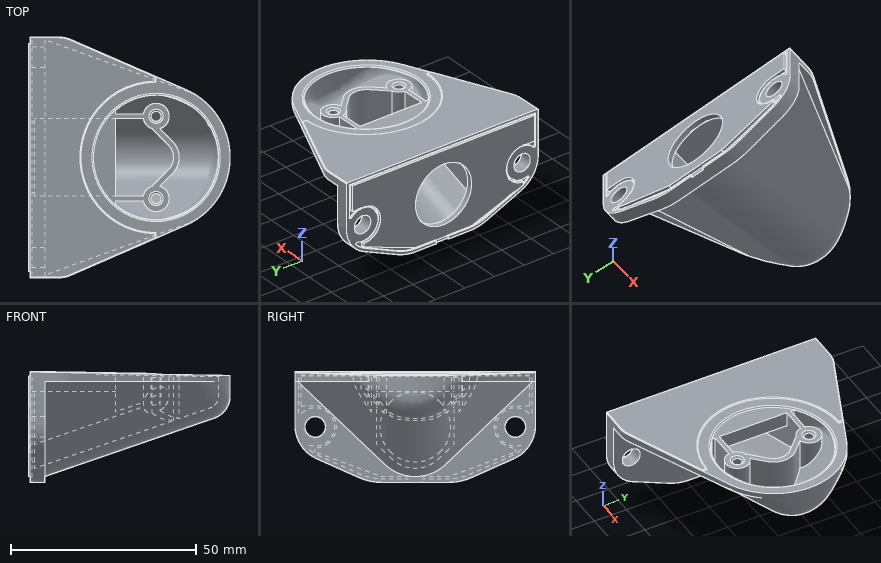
import cadquery as cq
import math

FLANGE_BACK = 0.5
FLANGE_THICKNESS = 4.0
FLANGE_FRONT = FLANGE_BACK + FLANGE_THICKNESS
HALF_WIDTH = 32.5
HEIGHT = 30.0
FLANGE_STRAIGHT_SIDE = 14.5
FLANGE_CORNER_RADIUS = 10.0
FLANGE_FOOT_ANGLE = 24.0
FLANGE_FOOT_RADIUS = 15.0

HOLE_DEPTH = 15.0
SCREW_OFFSET = 27.0
SCREW_RADIUS = 2.75
INLET_RADIUS = 9.5
INLET_WALL_FRONT = 1.75

PAD_HALF_WIDTH = 30.8
PAD_TOP = 1.2
PAD_BOTTOM = 28.4
PAD_BOTTOM_HALF_WIDTH = 9.1
PAD_SHOULDER_DEPTH = 21.8
PAD_SCREW_CLEARANCE = 5.7
GROOVE_MARGIN = 1.0
GROOVE_SCREW_CLEARANCE = 5.2
GROOVE_TIP_RADIUS = 0.4
GROOVE_DEPTH = 0.5
GROOVE_FLOOR = FLANGE_BACK + GROOVE_DEPTH
DRAIN_WIDTH = 4.0

LENGTH = 54.5
NOSE_RADIUS = 20.0
NOSE_X = LENGTH - NOSE_RADIUS
PLAN_ANGLE = 23.5
PLAN_CORNER_RADIUS = 8.0
TOP_TILT = 0.95
PLATE_THICKNESS = 2.7
EDGE_BREAK = 0.2

KEEL_RISE = 19.0
KEEL_DEPTH = 28.4
SIDE_ANGLE = 42.0
WALL = 3.0
INNER_KEEL_RADIUS = 9.4
OUTER_KEEL_RADIUS = INNER_KEEL_RADIUS + WALL
NOSE_START = 43.5
NOSE_FILLET = 6.3
NOSE_FILLET_END = 0.3
CAVITY_FILLET = 3.2
CAVITY_FILLET_END = 1.0

RIM_RADIUS = 20.3
RIM_DROP = 0.2
RIM_SLOPE = 55.0
RIM_CORNER_RADIUS = 0.6
BORE_RADIUS = 17.3
BORE_FLOOR_RADIUS = 16.9
SHELF_DROP = 0.6
CAVITY_RADIUS = 16.8
SHELF_EDGE = 23.5

BOSS_OFFSET = 11.1
BOSS_RADIUS = 3.5
BOSS_HOLE_RADIUS = 1.35
BOSS_MOUTH_RADIUS = 1.9
BOSS_MOUTH_DEPTH = 1.0
RIB_WIDTH = 1.3
BULGE_INNER_RADIUS = 4.7
BULGE_THICKNESS = 1.5
BULGE_LEG_INSET = 1.5

FAR = 100.0
PICK = 1.0
HEADROOM = 5.0


def sin(degrees):
    return math.sin(math.radians(degrees))


def cos(degrees):
    return math.cos(math.radians(degrees))


def tan(degrees):
    return math.tan(math.radians(degrees))


def box(x0, x1, half_y, z0, z1):
    """Box symmetric about Y = 0."""
    block = cq.Workplane("XY").box(x1 - x0, 2 * half_y, z1 - z0, centered=False)
    return block.translate((x0, -half_y, z0))


def cylinder_z(x, y, radius):
    """Tall vertical cylinder."""
    return cq.Workplane("XY", origin=(x, y, -FAR)).circle(radius).extrude(2 * FAR)


def flange_hole(y, radius, x0, x1):
    """Cylinder along X at the height of the flange holes."""
    return cq.Workplane("YZ", origin=(x0, y, -HOLE_DEPTH)).circle(radius).extrude(x1 - x0)


def top_plane(x, y, drop):
    """Plane parallel to the tilted top surface, lowered by `drop`, with its origin at (x, y)."""
    z = -(x - FLANGE_BACK) * tan(TOP_TILT) - drop
    along = (cos(TOP_TILT), 0, -sin(TOP_TILT))
    upward = (sin(TOP_TILT), 0, cos(TOP_TILT))
    return cq.Plane(origin=(x, y, z), xDir=along, normal=upward)


def below_top(drop):
    """Everything below the tilted top surface lowered by `drop`."""
    return cq.Workplane(top_plane(FLANGE_BACK, 0, drop)).rect(2 * FAR, 2 * FAR).extrude(-FAR)


def flange_prism(inset, thickness):
    """Flange outline, moved inwards by `inset`, extruded from the back face."""
    corner_z = -FLANGE_STRAIGHT_SIDE - FLANGE_CORNER_RADIUS * tan((90 - FLANGE_FOOT_ANGLE) / 2)
    foot_y = HALF_WIDTH - (HEIGHT + corner_z) / tan(FLANGE_FOOT_ANGLE)
    right = [(HALF_WIDTH, 0), (HALF_WIDTH, corner_z), (foot_y, -HEIGHT)]
    left = [(-y, z) for y, z in reversed(right)]
    outline = cq.Workplane("YZ", origin=(FLANGE_BACK, 0, 0)).polyline(right + left).close()
    if inset:
        outline = outline.offset2D(-inset, "intersection")
    middle_z = (corner_z - HEIGHT) / 2
    corners = cq.selectors.BoxSelector((-FAR, -FAR, middle_z), (FAR, FAR, -FLANGE_STRAIGHT_SIDE))
    feet = cq.selectors.BoxSelector((-FAR, -FAR, -FAR), (FAR, FAR, middle_z))
    prism = outline.extrude(thickness)
    prism = prism.edges("|X").edges(corners).fillet(FLANGE_CORNER_RADIUS - inset)
    return prism.edges("|X").edges(feet).fillet(FLANGE_FOOT_RADIUS - inset)


def pad_prism(x0, x1):
    """Pad outline, cut back around the screw holes, extruded from x0 to x1."""
    shoulder_z = PAD_SCREW_CLEARANCE - HOLE_DEPTH
    right = [
        (PAD_HALF_WIDTH, -PAD_TOP),
        (PAD_HALF_WIDTH, shoulder_z),
        (SCREW_OFFSET, shoulder_z),
        (SCREW_OFFSET, -PAD_SHOULDER_DEPTH),
        (PAD_BOTTOM_HALF_WIDTH, -PAD_BOTTOM),
    ]
    left = [(-y, z) for y, z in reversed(right)]
    prism = cq.Workplane("YZ", origin=(x0, 0, 0)).polyline(right + left).close().extrude(x1 - x0)
    for side in (-1, 1):
        prism = prism.cut(flange_hole(side * SCREW_OFFSET, PAD_SCREW_CLEARANCE, x0, x1))
    return prism


def pad_groove():
    """Groove between the pad and the flange rim, drained at the bottom."""
    groove = flange_prism(GROOVE_MARGIN, GROOVE_DEPTH)
    for side in (-1, 1):
        y = side * SCREW_OFFSET
        groove = groove.cut(flange_hole(y, GROOVE_SCREW_CLEARANCE, FLANGE_BACK, GROOVE_FLOOR))
        lowest = (0, y, -HOLE_DEPTH - PAD_SCREW_CLEARANCE)
        highest = (GROOVE_FLOOR, side * HALF_WIDTH, -HOLE_DEPTH + PAD_SCREW_CLEARANCE)
        tips = cq.selectors.BoxSelector(lowest, highest)
        groove = groove.edges("|X").edges(tips).fillet(GROOVE_TIP_RADIUS)
    drain = box(FLANGE_BACK, GROOVE_FLOOR, DRAIN_WIDTH / 2, -HEIGHT, -PAD_BOTTOM)
    return groove.union(drain).cut(pad_prism(FLANGE_BACK, GROOVE_FLOOR))


def plan_prism():
    """Plan shape of the top plate, tapering to the round nose, over the full height."""
    tangent_x = NOSE_X + NOSE_RADIUS * sin(PLAN_ANGLE)
    tangent_y = NOSE_RADIUS * cos(PLAN_ANGLE)
    corner_x = tangent_x - (HALF_WIDTH - tangent_y) / tan(PLAN_ANGLE)
    plan = (
        cq.Workplane("XY", origin=(0, 0, -HEIGHT))
        .moveTo(FLANGE_BACK, -HALF_WIDTH)
        .lineTo(corner_x, -HALF_WIDTH)
        .lineTo(tangent_x, -tangent_y)
        .threePointArc((LENGTH, 0), (tangent_x, tangent_y))
        .lineTo(corner_x, HALF_WIDTH)
        .lineTo(FLANGE_BACK, HALF_WIDTH)
        .close()
        .extrude(HEIGHT)
    )
    corners = cq.selectors.BoxSelector((FLANGE_FRONT, -FAR, -FAR), (NOSE_X, FAR, FAR))
    return plan.edges("|Z").edges(corners).fillet(PLAN_CORNER_RADIUS)


def trough(keel_radius, lift):
    """Everything above a V with a rounded keel; `lift` raises it square to the keel."""
    tangent_y = keel_radius * sin(SIDE_ANGLE)
    tangent_z = lift + keel_radius * (1 - cos(SIDE_ANGLE))
    section = cq.Plane(
        origin=(FLANGE_FRONT, 0, -KEEL_DEPTH),
        xDir=(0, 1, 0),
        normal=(cos(KEEL_RISE), 0, sin(KEEL_RISE)),
    )
    return (
        cq.Workplane(section)
        .workplane(offset=-FAR)
        .moveTo(tangent_y, tangent_z)
        .threePointArc((0, lift), (-tangent_y, tangent_z))
        .line(-FAR, FAR * tan(SIDE_ANGLE))
        .line(2 * (FAR + tangent_y), 0)
        .close()
        .extrude(2 * FAR)
    )


def rounded_nose(keel_radius, lift, nose_radius, start_x, fillet, end_fillet):
    """Trough piece beyond start_x with a round front.

    Its lower edge is rounded with `fillet` at the keel, fading to `end_fillet` at start_x.
    """
    front = cylinder_z(NOSE_X, 0, nose_radius).rotate((NOSE_X, 0, 0), (NOSE_X, 0, 1), 180)
    front = front.intersect(box(start_x, FAR, FAR, -FAR, HEADROOM))
    blank = trough(keel_radius, lift).intersect(front)
    tip_x = NOSE_X + nose_radius
    tip = cq.selectors.BoxSelector((tip_x - WALL, -PICK, -HEIGHT), (tip_x + PICK, PICK, -PLATE_THICKNESS))
    keel_edge = blank.edges(tip).val()
    builder = cq.occ_impl.shapes.BRepFilletAPI_MakeFillet(blank.val().wrapped)
    builder.Add(keel_edge.wrapped)
    for index in range(1, builder.NbEdges(1) + 1):
        for vertex in cq.Edge(builder.Edge(1, index)).Vertices():
            at_start = vertex.Center().x < start_x + PICK
            builder.SetRadius(end_fillet if at_start else fillet, 1, vertex.wrapped)
    return cq.Workplane(cq.Shape.cast(builder.Shape()))


def shell():
    """Flange, top plate and trough before hollowing, trimmed to the tilted top."""
    plan = plan_prism()
    plate = plan.intersect(box(FLANGE_BACK, LENGTH, HALF_WIDTH, -PLATE_THICKNESS, 0))
    arm = plan.intersect(trough(OUTER_KEEL_RADIUS, 0))
    arm = arm.intersect(box(FLANGE_FRONT, NOSE_START, HALF_WIDTH, -HEIGHT, 0))
    nose = rounded_nose(OUTER_KEEL_RADIUS, 0, NOSE_RADIUS, NOSE_START, NOSE_FILLET, NOSE_FILLET_END)
    nose = nose.intersect(box(NOSE_START, LENGTH, NOSE_RADIUS, -HEIGHT, 0))
    solid = flange_prism(0, FLANGE_THICKNESS).union(plate).union(arm).union(nose)
    solid = solid.intersect(below_top(0))
    return solid.faces(">Z").edges("not(<X)").chamfer(EDGE_BREAK)


def rim_recess():
    """Shallow sloping step around the bore, open towards the nose."""
    r = RIM_RADIUS
    reach = LENGTH
    outline = (
        cq.Workplane(top_plane(NOSE_X, 0, RIM_DROP))
        .moveTo(0, -reach)
        .lineTo(0, -r)
        .threePointArc((-r, 0), (0, r))
        .lineTo(0, reach)
        .lineTo(reach, reach)
        .lineTo(reach, -reach)
        .close()
    )
    step = outline.extrude(RIM_DROP, taper=-RIM_SLOPE)
    for side in (-1, 1):
        inner_corner = (NOSE_X - PICK, side * (r - PICK), -HEIGHT)
        outer_corner = (NOSE_X + PICK, side * (r + PICK), 0)
        lip = cq.selectors.BoxSelector(inner_corner, outer_corner)
        step = step.edges(lip).fillet(RIM_CORNER_RADIUS)
    return step


def bore():
    """Slightly conical bore from the rim down to the shelf."""
    depth = SHELF_DROP - RIM_DROP
    upper = cq.Workplane(top_plane(NOSE_X, 0, RIM_DROP)).circle(BORE_RADIUS)
    return upper.workplane(offset=-depth).circle(BORE_FLOOR_RADIUS).loft()


def bulge():
    """Wall bulging forward between the bosses, with legs at 45 degrees."""
    diagonal = sin(45)
    leg_y = BOSS_OFFSET - BULGE_LEG_INSET

    def leg_end(radius):
        return NOSE_X + radius / diagonal - leg_y

    inner = BULGE_INNER_RADIUS
    outer = inner + BULGE_THICKNESS
    inner_x = NOSE_X + inner * diagonal
    outer_x = NOSE_X + outer * diagonal
    return (
        cq.Workplane("XY", origin=(0, 0, -HEIGHT))
        .moveTo(leg_end(outer), -leg_y)
        .lineTo(outer_x, -outer * diagonal)
        .threePointArc((NOSE_X + outer, 0), (outer_x, outer * diagonal))
        .lineTo(leg_end(outer), leg_y)
        .lineTo(leg_end(inner), leg_y)
        .lineTo(inner_x, inner * diagonal)
        .threePointArc((NOSE_X + inner, 0), (inner_x, -inner * diagonal))
        .lineTo(leg_end(inner), -leg_y)
        .close()
        .extrude(HEIGHT)
    )


def ribs():
    """Bulge, straight ribs and drilled bosses, all reaching from the floor to the shelf level."""
    wall = bulge()
    for side in (-1, 1):
        y = side * BOSS_OFFSET
        straight = box(SHELF_EDGE, NOSE_X, RIB_WIDTH / 2, -HEIGHT, 0).translate((0, y, 0))
        wall = wall.union(straight).union(cylinder_z(NOSE_X, y, BOSS_RADIUS))
    for side in (-1, 1):
        y = side * BOSS_OFFSET
        mouth = cq.Workplane(top_plane(NOSE_X, y, SHELF_DROP)).circle(BOSS_MOUTH_RADIUS)
        mouth = mouth.workplane(offset=-BOSS_MOUTH_DEPTH).circle(BOSS_MOUTH_RADIUS - BOSS_MOUTH_DEPTH).loft()
        wall = wall.cut(cylinder_z(NOSE_X, y, BOSS_HOLE_RADIUS)).cut(mouth)
    return wall


def cavity():
    """Hollow under the bore, joined to the inlet by the duct under the shelf."""
    hollow = rounded_nose(
        INNER_KEEL_RADIUS, WALL, CAVITY_RADIUS, SHELF_EDGE, CAVITY_FILLET, CAVITY_FILLET_END
    )
    duct_half_width = BOSS_OFFSET - RIB_WIDTH / 2
    duct_top = INLET_RADIUS - HOLE_DEPTH
    duct = box(INLET_WALL_FRONT, SHELF_EDGE, duct_half_width, -HEIGHT, duct_top)
    duct = duct.intersect(trough(INNER_KEEL_RADIUS, WALL))
    return hollow.cut(ribs()).union(duct).intersect(below_top(SHELF_DROP))


body = shell().cut(rim_recess()).cut(bore()).cut(cavity())
body = body.cut(pad_groove()).union(pad_prism(0, FLANGE_BACK))
body = body.cut(flange_hole(0, INLET_RADIUS, 0, INLET_WALL_FRONT))
for side in (-1, 1):
    body = body.cut(flange_hole(side * SCREW_OFFSET, SCREW_RADIUS, 0, FLANGE_FRONT))
result = body